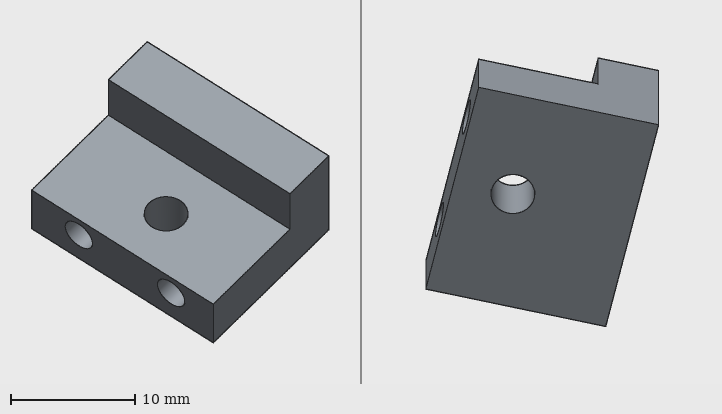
import cadquery as cq

width = 18.72
depth = 14.86
height = 9.58

base_height = 5.0
wall_thickness = 5.0

vertical_hole_diameter = 3.52
vertical_hole_x = 9.95
vertical_hole_y = 4.87

cross_hole_diameter = 2.8
cross_hole_first_x = 4.87
cross_hole_spacing = 9.51
cross_hole_z = 3.03


def make_body():
    base = cq.Workplane("XY").box(width, depth, base_height, centered=False)
    wall = (
        cq.Workplane("XY")
        .box(width, wall_thickness, height, centered=False)
        .translate((0, depth - wall_thickness, 0))
    )
    return base.union(wall)


def make_vertical_hole():
    return (
        cq.Workplane("XY")
        .center(vertical_hole_x, vertical_hole_y)
        .circle(vertical_hole_diameter / 2)
        .extrude(base_height)
    )


def make_cross_hole(x):
    return (
        cq.Workplane("XZ")
        .center(x, cross_hole_z)
        .circle(cross_hole_diameter / 2)
        .extrude(-depth)
    )


result = make_body().cut(make_vertical_hole())
for hole_x in (cross_hole_first_x, cross_hole_first_x + cross_hole_spacing):
    result = result.cut(make_cross_hole(hole_x))